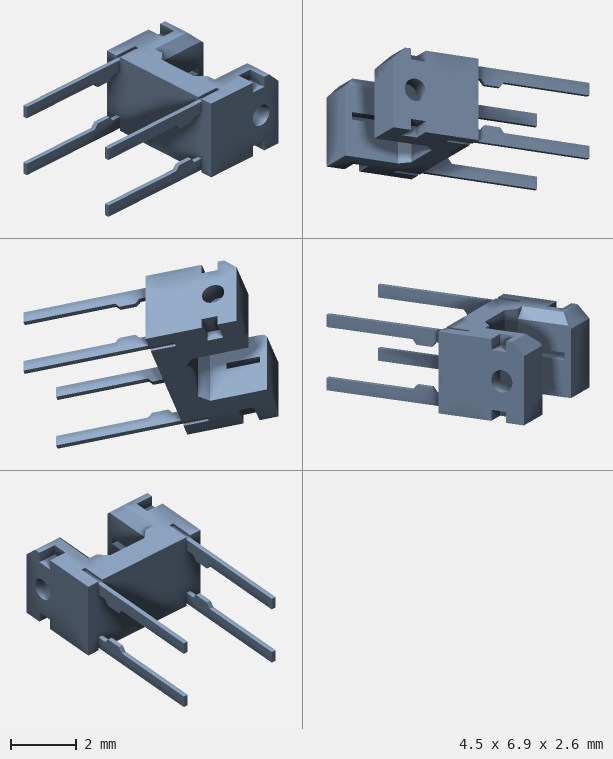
import cadquery as cq


body_width = 4.5
body_length = 2.9
body_height = 2.6
top_z = body_height / 2

gap_width = 1.97
gap_depth = 2.1
gap_corner = 0.3
gap_corner_y = body_length - gap_depth + gap_corner

tip_chamfer = 0.4
inner_chamfer = 0.31

notch_depth = 0.61
notch_length = 0.5
notch_height = 0.35
notch_from_tip = 0.86

hole_diameter = 0.71
hole_depth = 0.6
hole_from_tip = 0.75
hole_y = body_length - hole_from_tip

slit_length = 1.06
slit_height = 0.24
slit_depth = 0.4

lead_thickness = 0.15
lead_height = 0.4
lead_reach = 4.0
lead_embed = 0.8
lead_pitch = 3.52
lead_inset = 0.095
lead_outer_z = top_z - lead_inset

stop_height = 0.163
stop_start = 0.31
stop_base = 0.775
stop_slope = 0.13

SIDES = (-1, 1)


def box_between(x_range, y_range, z_range):
    """Box given by its two limits along each axis."""
    sizes = [high - low for low, high in (x_range, y_range, z_range)]
    corner = (x_range[0], y_range[0], z_range[0])
    return cq.Workplane("XY").box(*sizes, centered=False).translate(corner)


def place_on_side(shape, x_side, z_side=1):
    """Copy of a shape modelled at +X, +Z, moved to the given sides."""
    if x_side < 0:
        shape = shape.mirror("YZ")
    if z_side < 0:
        shape = shape.mirror("XY")
    return shape


def make_body_blank():
    """U-shaped block with a chamfered top edge along the arm tips."""
    half_width = body_width / 2
    half_gap = gap_width / 2
    half_floor = half_gap - gap_corner
    gap_floor_y = body_length - gap_depth
    blank = (
        cq.Workplane("XY", origin=(0, 0, -top_z))
        .polyline([
            (-half_width, 0),
            (half_width, 0),
            (half_width, body_length),
            (half_gap, body_length),
            (half_gap, gap_corner_y),
            (half_floor, gap_floor_y),
            (-half_floor, gap_floor_y),
            (-half_gap, gap_corner_y),
            (-half_gap, body_length),
            (-half_width, body_length),
        ])
        .close()
        .extrude(body_height)
    )
    return blank.faces(">Y").edges(">Z").chamfer(tip_chamfer)


def make_inner_chamfer_cut():
    """Wedge along the inner top edge of the +X arm, from the tip to the gap corner."""
    inner_x = gap_width / 2
    return (
        cq.Workplane("XZ", origin=(0, body_length, 0))
        .polyline([
            (inner_x, top_z),
            (inner_x + inner_chamfer, top_z),
            (inner_x, top_z - inner_chamfer),
        ])
        .close()
        .extrude(body_length - gap_corner_y)
    )


def make_notch_cut():
    """Notch in the outer top edge of the +X arm."""
    outer_x = body_width / 2
    notch_y = body_length - notch_from_tip
    return box_between(
        (outer_x - notch_depth, outer_x),
        (notch_y - notch_length / 2, notch_y + notch_length / 2),
        (top_z - notch_height, top_z),
    )


def make_hole_cut():
    """Blind round hole in the outer face of the +X arm."""
    return (
        cq.Workplane("YZ", origin=(body_width / 2, hole_y, 0))
        .circle(hole_diameter / 2)
        .extrude(-hole_depth)
    )


def make_slit_cut():
    """Aperture slit in the inner face of the +X arm."""
    inner_x = gap_width / 2
    return box_between(
        (inner_x, inner_x + slit_depth),
        (hole_y - slit_length / 2, hole_y + slit_length / 2),
        (-slit_height / 2, slit_height / 2),
    )


def make_lead_slot_cut():
    """Slot at +X for the upper lead, open to the lead face and the top of the housing."""
    lead_x = lead_pitch / 2
    return box_between(
        (lead_x - lead_thickness / 2, lead_x + lead_thickness / 2),
        (0, lead_embed),
        (lead_outer_z - lead_height, top_z),
    )


def make_housing():
    """Housing with all its cuts, the same on both arms."""
    housing = make_body_blank()
    for x_side in SIDES:
        for cut in (make_inner_chamfer_cut(), make_hole_cut(), make_slit_cut()):
            housing = housing.cut(place_on_side(cut, x_side))
        for z_side in SIDES:
            for cut in (make_notch_cut(), make_lead_slot_cut()):
                housing = housing.cut(place_on_side(cut, x_side, z_side))
    return housing


def make_lead(x_side, z_side):
    """Flat lead with a trapezoidal stop on the edge facing mid height."""
    inner_z = lead_outer_z - lead_height
    stop_z = inner_z - stop_height
    stop_end = stop_start + stop_base
    lead_x = lead_pitch / 2
    lead = (
        cq.Workplane("YZ", origin=(lead_x - lead_thickness / 2, 0, 0))
        .polyline([
            (lead_embed, lead_outer_z),
            (lead_embed, inner_z),
            (-stop_start, inner_z),
            (-stop_start - stop_slope, stop_z),
            (-stop_end + stop_slope, stop_z),
            (-stop_end, inner_z),
            (-lead_reach, inner_z),
            (-lead_reach, lead_outer_z),
        ])
        .close()
        .extrude(lead_thickness)
    )
    return place_on_side(lead, x_side, z_side)


housing = make_housing().solids()
leads = [make_lead(x_side, z_side) for x_side in SIDES for z_side in SIDES]

result = cq.Compound.makeCompound([housing.val(), *[lead.val() for lead in leads]])